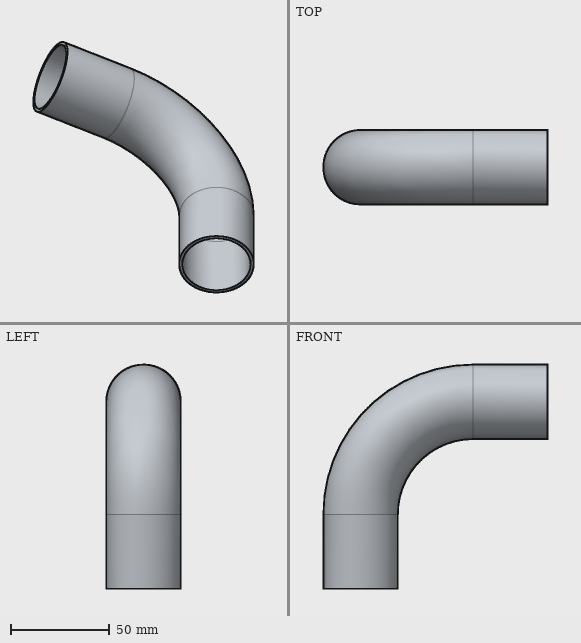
import cadquery as cq

overall_size = 114.4
outer_diameter = 38.1
bore_diameter = 34.8
bend_radius = 57.2

leg_length = overall_size - bend_radius - outer_diameter / 2


def ring(plane):
    """Tube cross-section centred on the origin of the given plane."""
    return cq.Workplane(plane).circle(outer_diameter / 2).circle(bore_diameter / 2)


lower_leg = ring("XY").extrude(leg_length)

bend = (
    ring(cq.Plane(origin=(0, 0, leg_length)))
    .revolve(90, (bend_radius, 0, 0), (bend_radius, 1, 0))
)

upper_leg_start = cq.Plane(
    origin=(bend_radius, 0, leg_length + bend_radius),
    xDir=(0, 1, 0),
    normal=(1, 0, 0),
)
upper_leg = ring(upper_leg_start).extrude(leg_length)

result = lower_leg.union(bend).union(upper_leg)